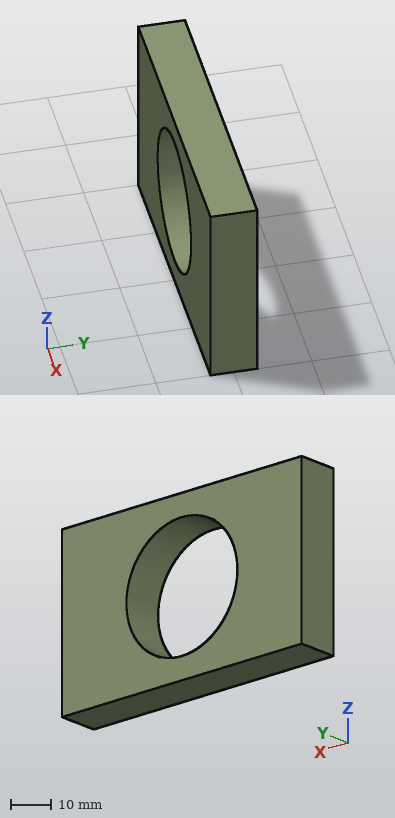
import cadquery as cq

plate_length = 80.0
plate_thickness = 12.0
plate_height = 50.0

hole_diameter = 37.0


def make_plate():
    """Rectangular plate centred on the origin."""
    return cq.Workplane("XY").box(plate_length, plate_thickness, plate_height)


def cut_central_hole(plate):
    """Bore the round opening along Y through the middle of the plate."""
    return plate.faces("<Y").workplane(centerOption="CenterOfBoundBox").hole(hole_diameter)


result = cut_central_hole(make_plate())